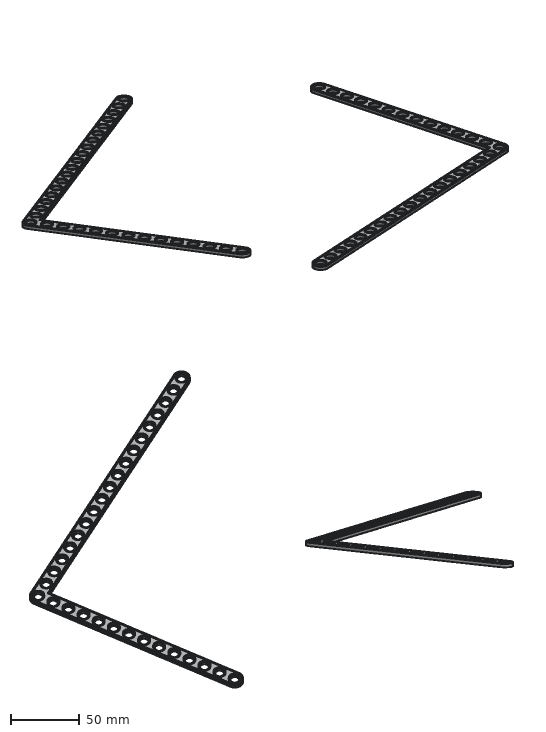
import cadquery as cq

length_y = 237.5
holes_x = 14
holes_y = 19
hole_diameter = 7.0
floor_thickness = 2.8
rim_height = 0.15
rim_width = 1.15
bevel_width = 0.35
bevel_height = 0.5

pitch = length_y / holes_y
thickness = floor_thickness + rim_height

hole_centers = [(i * pitch, 0) for i in range(holes_x)]
hole_centers += [(0, i * pitch) for i in range(1, holes_y)]


def rounded_arm(hole_count, direction, inset, height):
    """Bar with round ends, starting at the corner hole and turned to its direction in degrees."""
    span = (hole_count - 1) * pitch
    width = pitch - 2 * inset
    arm = cq.Workplane("XY").center(span / 2, 0).slot2D(span + width, width, 0).extrude(height)
    return arm.rotate((0, 0, 0), (0, 0, 1), direction)


def perforated_angle(inset, height):
    """L-shaped plate with all its holes, its every edge moved into the material by the inset."""
    arm_x = rounded_arm(holes_x, 0, inset, height)
    arm_y = rounded_arm(holes_y, 90, inset, height)
    hole_radius = hole_diameter / 2 + inset
    holes = cq.Workplane("XY").pushPoints(hole_centers).circle(hole_radius).extrude(height)
    return arm_x.union(arm_y).clean().cut(holes)


plate = perforated_angle(0, thickness)
plate = plate.faces(">Z").edges().chamfer(bevel_height, bevel_width)

recess = perforated_angle(rim_width, rim_height).translate((0, 0, floor_thickness))

result = plate.cut(recess)